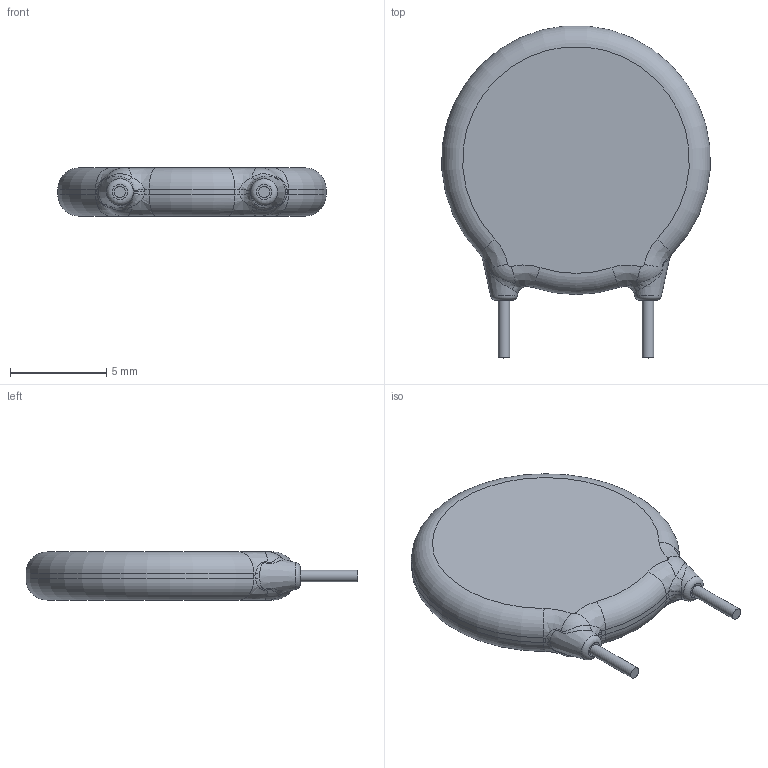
import cadquery as cq
import math

disc_radius = 7.0
thickness = 2.5
rim_radius = 1.1

lead_pitch = 7.5
lead_diameter = 0.6
lead_end_y = -10.3

collar_end_y = -7.3
collar_end_radius = 0.65
collar_half_angle = 12.0
collar_length = 2.4
collar_tip_radius = 0.3

shoulder_x = 3.4
shoulder_y = -5.4
shoulder_radius = 1.25
shoulder_blend_radius = 1.5
collar_blend_radius = 0.5


def make_body():
    """Disc with two blended shoulders and a rounded rim."""
    shoulder_centers = [(side * shoulder_x, shoulder_y) for side in (-1, 1)]
    disc = cq.Workplane("XY").circle(disc_radius).extrude(thickness / 2, both=True)
    shoulders = (
        cq.Workplane("XY")
        .pushPoints(shoulder_centers)
        .circle(shoulder_radius)
        .extrude(thickness / 2, both=True)
    )
    body = disc.union(shoulders)
    shoulder_top_y = shoulder_y + shoulder_radius
    inside_corners = cq.selectors.BoxSelector(
        (-disc_radius, -disc_radius, -thickness),
        (disc_radius, shoulder_top_y, thickness),
    )
    body = body.edges("|Z").edges(inside_corners).fillet(shoulder_blend_radius)
    return body.faces("|Z").edges().fillet(rim_radius)


def make_collar(x):
    """Cone along Y, narrowing toward the lead, with a rounded tip."""
    root_radius = collar_end_radius + collar_length * math.tan(math.radians(collar_half_angle))
    collar = (
        cq.Workplane("XZ", origin=(x, collar_end_y + collar_length, 0))
        .circle(root_radius)
        .workplane(offset=collar_length)
        .circle(collar_end_radius)
        .loft()
    )
    return collar.faces("<Y").edges().fillet(collar_tip_radius)


def make_lead(x):
    """Straight round wire starting inside the disc."""
    return (
        cq.Workplane("XZ", origin=(x, shoulder_y, 0))
        .circle(lead_diameter / 2)
        .extrude(shoulder_y - lead_end_y)
    )


lead_xs = (-lead_pitch / 2, lead_pitch / 2)

result = make_body()
for lead_x in lead_xs:
    result = result.union(make_collar(lead_x))

result = result.faces("%CONE").edges("not (%CIRCLE or %LINE)").fillet(collar_blend_radius)

for lead_x in lead_xs:
    result = result.union(make_lead(lead_x))